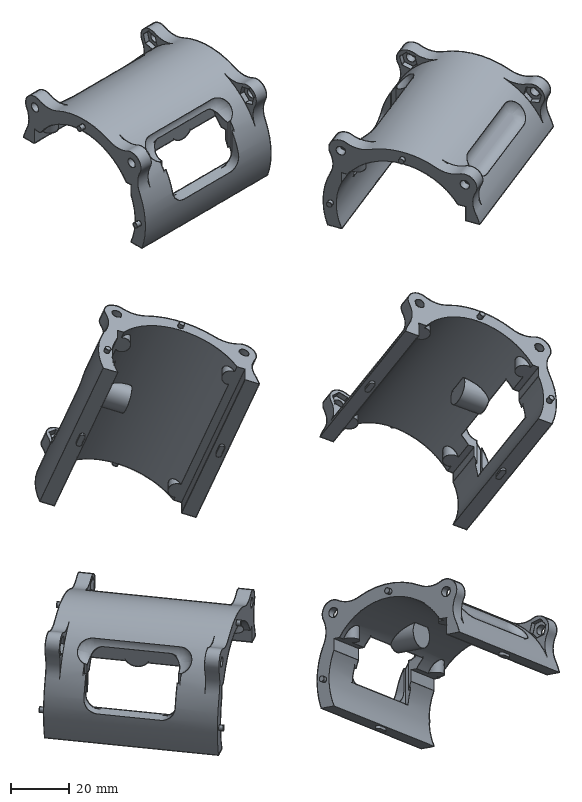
import cadquery as cq
import math

OUTER_R = 30.0
INNER_R = 50.0 / 2
MID_WALL_R = (OUTER_R + INNER_R) / 2
FRONT_Y = -30.0
BACK_Y = 31.0
LEFT_END_Z = 8.0
RIGHT_END_Z = -10.0

SEAT_Z = 14.0
SEAT_LEFT_X = -23.6
SEAT_RIGHT_X = 22.95

SHOULDER_ANGLE = 45
EAR_CENTRE_R = 32.95
EAR_R = 4.5
EAR_THICKNESS = 5.0
EAR_BLEND_R = 10.0
EAR_HOLE_D = 3.5
NUT_ACROSS_FLATS = 6.0
NUT_DEPTH = 2.0
FLAT_TO_CORNER = 30

PIN_D = 2.0
PIN_R = 27.0
FRONT_PIN = 2.0
BACK_PIN = 1.5
KEY_LENGTH = 5.0
KEY_HEIGHT = 1.0
LEFT_KEY_X = -26.4
RIGHT_KEY_X = 24.7

DISH_HALF_WIDTH = 10.0 / 2
DISH_STRAIGHT = 30.0
DISH_DEPTH = 2.0
DISH_FLOOR_R = OUTER_R - DISH_DEPTH
DISH_BLEND_R = DISH_HALF_WIDTH
DISH_HUB_R = 0.65
DISH_TOOL_HEIGHT = 5.8

WINDOW_WIDTH = 32.0
WINDOW_SILL_Z = 2.0
WINDOW_HEIGHT = 20.0
WINDOW_CORNER_R = 4.95
WINDOW_INNER_X = 18.0
PANE_WIDTH = 34.0
PANE_INNER_X = 24.0
PANE_OUTER_X = 26.0

POST_R = 6.0 / 2
POST_LEFT_X = -20.3
POST_RIGHT_X = 19.5
POST_Y = 25.8
BARREL_R = 10.0 / 2
BARREL_START_X = 7.9
BARREL_Z = 20.6


def box(x0, x1, y0, y1, z0, z1):
    """Box between two opposite corners."""
    return cq.Workplane("XY").box(x1 - x0, y1 - y0, z1 - z0, centered=False).translate((x0, y0, z0))


def rod_y(radius, x, z, y0, y1):
    """Cylinder along Y from y0 to y1."""
    return cq.Workplane("XZ", origin=(x, y0, z)).circle(radius).extrude(y0 - y1)


def polar(radius, degrees):
    """Cartesian pair of a polar position."""
    return radius * math.cos(math.radians(degrees)), radius * math.sin(math.radians(degrees))


def toward(start, end, distance):
    """Point at a distance from start on the line to end."""
    span = math.dist(start, end)
    return tuple(a + (b - a) * distance / span for a, b in zip(start, end))


def mirrored(solid):
    """Copy on the opposite side of the X = 0 plane."""
    return solid.mirror("YZ")


def make_shell():
    """Ring cut off level at a different height on each side."""
    ring = rod_y(OUTER_R, 0, 0, FRONT_Y, BACK_Y).cut(rod_y(INNER_R, 0, 0, FRONT_Y, BACK_Y))
    left = box(-OUTER_R, 0, FRONT_Y, BACK_Y, LEFT_END_Z, OUTER_R)
    right = box(0, OUTER_R, FRONT_Y, BACK_Y, RIGHT_END_Z, OUTER_R)
    return ring.intersect(left.union(right))


def make_ear(y0):
    """Right-hand ear starting at y0, tangent to the shell on both sides."""
    blend_centre_r = OUTER_R + EAR_BLEND_R
    ear_to_blend = EAR_R + EAR_BLEND_R
    cosine = (blend_centre_r**2 + EAR_CENTRE_R**2 - ear_to_blend**2) / (2 * blend_centre_r * EAR_CENTRE_R)
    spread = math.degrees(math.acos(cosine))
    ear = polar(EAR_CENTRE_R, SHOULDER_ANGLE)

    def blend(degrees):
        """Start, middle and end of the blend that leaves the shell at this angle."""
        centre = polar(blend_centre_r, degrees)
        on_shell = polar(OUTER_R, degrees)
        on_ear = toward(ear, centre, EAR_R)
        chord_middle = tuple((a + b) / 2 for a, b in zip(on_shell, on_ear))
        return on_shell, toward(centre, chord_middle, EAR_BLEND_R), on_ear

    low_shell, low_middle, low_ear = blend(SHOULDER_ANGLE - spread)
    high_shell, high_middle, high_ear = blend(SHOULDER_ANGLE + spread)
    outline = (
        cq.Workplane("XZ", origin=(0, y0, 0))
        .moveTo(*low_shell)
        .threePointArc(low_middle, low_ear)
        .threePointArc(polar(EAR_CENTRE_R + EAR_R, SHOULDER_ANGLE), high_ear)
        .threePointArc(high_middle, high_shell)
        .lineTo(*polar(MID_WALL_R, SHOULDER_ANGLE))
        .close()
    )
    return outline.extrude(-EAR_THICKNESS)


def make_nut_pocket(y0):
    """Hexagonal pocket cutter at the right-hand ears, starting at y0."""
    x, z = polar(EAR_CENTRE_R, SHOULDER_ANGLE)
    corner_d = NUT_ACROSS_FLATS / math.cos(math.radians(FLAT_TO_CORNER))
    plane = cq.Workplane("XZ", origin=(x, y0, z)).transformed(rotate=(0, 0, SHOULDER_ANGLE - FLAT_TO_CORNER))
    return plane.polygon(6, corner_d).extrude(-NUT_DEPTH)


def dish_profile(plane, rim_angle):
    """Half section of the dish; rim_angle is 0 across the shell and 90 along it."""
    across = DISH_HALF_WIDTH * math.cos(math.radians(rim_angle))
    rim_height = math.sqrt(OUTER_R**2 - across**2) - DISH_FLOOR_R
    half_sweep = math.acos(1 - rim_height / DISH_BLEND_R) / 2
    floor_edge = DISH_HALF_WIDTH - DISH_BLEND_R * math.sin(2 * half_sweep)
    arc_middle = (
        floor_edge + DISH_BLEND_R * math.sin(half_sweep),
        DISH_BLEND_R * (1 - math.cos(half_sweep)),
    )
    return (
        cq.Workplane(plane)
        .moveTo(DISH_HUB_R, 0)
        .lineTo(floor_edge, 0)
        .threePointArc(arc_middle, (DISH_HALF_WIDTH, rim_height))
        .lineTo(DISH_HALF_WIDTH, DISH_TOOL_HEIGHT)
        .lineTo(DISH_HUB_R, DISH_TOOL_HEIGHT)
        .close()
    )


def make_dish_end():
    """Quarter of a dish end, swept about the Z axis from +X to +Y."""
    sections = []
    for angle in (0, 30, 60, 90):
        direction = (*polar(1, angle), 0)
        normal = (math.sin(math.radians(angle)), -math.cos(math.radians(angle)), 0)
        sections.append(dish_profile(cq.Plane((0, 0, 0), direction, normal), angle).wires().val())
    path = cq.Workplane("XY").moveTo(DISH_HUB_R, 0).threePointArc(polar(DISH_HUB_R, 45), (0, DISH_HUB_R))
    return cq.Workplane(cq.Solid.sweep_multi(sections, path.val(), isFrenet=True))


def make_dish():
    """Cutter for the grip recess on the right shoulder."""
    half = DISH_STRAIGHT / 2
    side = dish_profile(cq.Plane((0, half, 0), (1, 0, 0), (0, -1, 0)), 0).extrude(DISH_STRAIGHT)
    core = box(-DISH_HUB_R, DISH_HUB_R, -half, half, 0, DISH_TOOL_HEIGHT)
    tool = core.union(side).union(mirrored(side))
    hub = cq.Workplane("XY").circle(DISH_HUB_R).extrude(DISH_TOOL_HEIGHT)
    quarter = make_dish_end()
    end = hub.union(quarter).union(mirrored(quarter)).translate((0, half, 0))
    tool = tool.union(end).union(end.mirror("XZ"))
    return tool.translate((0, 0, DISH_FLOOR_R)).rotate((0, 0, 0), (0, 1, 0), SHOULDER_ANGLE)


def make_window():
    """Cutter for the rounded opening and the pane slot that crosses it."""
    middle_z = WINDOW_SILL_Z + WINDOW_HEIGHT / 2
    opening = (
        cq.Workplane("YZ", origin=(WINDOW_INNER_X, 0, middle_z))
        .rect(WINDOW_WIDTH, WINDOW_HEIGHT)
        .extrude(OUTER_R - WINDOW_INNER_X)
        .edges("|X")
        .fillet(WINDOW_CORNER_R)
    )
    half = PANE_WIDTH / 2
    pane = box(PANE_INNER_X, PANE_OUTER_X, -half, half, WINDOW_SILL_Z, OUTER_R)
    return opening.union(pane)


def make_bosses():
    """Posts above the seat and the barrel behind the window, rooted in the shell wall."""
    posts = (
        cq.Workplane("XY", origin=(0, 0, SEAT_Z))
        .pushPoints([(x, y) for x in (POST_LEFT_X, POST_RIGHT_X) for y in (-POST_Y, POST_Y)])
        .circle(POST_R)
        .extrude(OUTER_R - SEAT_Z)
    )
    barrel = (
        cq.Workplane("YZ", origin=(BARREL_START_X, 0, BARREL_Z))
        .circle(BARREL_R)
        .extrude(WINDOW_INNER_X - BARREL_START_X)
    )
    root_limit = rod_y(MID_WALL_R, 0, 0, FRONT_Y, BACK_Y)
    return posts.union(barrel).intersect(root_limit)


def make_key(x, z):
    """Oblong pin hanging from height z."""
    return (
        cq.Workplane("XY", origin=(x, 0, z))
        .slot2D(KEY_LENGTH, PIN_D, 90)
        .extrude(-KEY_HEIGHT)
    )


result = make_shell()
for ear_y in (FRONT_Y, BACK_Y - EAR_THICKNESS):
    ear = make_ear(ear_y)
    result = result.union(ear).union(mirrored(ear))

result = result.cut(box(SEAT_LEFT_X, SEAT_RIGHT_X, FRONT_Y, BACK_Y, 0, SEAT_Z))
result = result.union(make_bosses())

ear_x, ear_z = polar(EAR_CENTRE_R, SHOULDER_ANGLE)
bolt_hole = rod_y(EAR_HOLE_D / 2, ear_x, ear_z, FRONT_Y, BACK_Y)
front_nut = make_nut_pocket(FRONT_Y + EAR_THICKNESS - NUT_DEPTH)
back_nut = make_nut_pocket(BACK_Y - EAR_THICKNESS)
for cutter in (bolt_hole, front_nut, back_nut, make_dish()):
    result = result.cut(cutter).cut(mirrored(cutter))
result = result.cut(make_window())

for pin_x, pin_z in ((0, PIN_R), (PIN_R, 0)):
    result = result.union(rod_y(PIN_D / 2, pin_x, pin_z, FRONT_Y - FRONT_PIN, FRONT_Y))
    result = result.union(rod_y(PIN_D / 2, pin_x, pin_z, BACK_Y, BACK_Y + BACK_PIN))

result = result.union(make_key(LEFT_KEY_X, LEFT_END_Z))
result = result.union(make_key(RIGHT_KEY_X, RIGHT_END_Z))